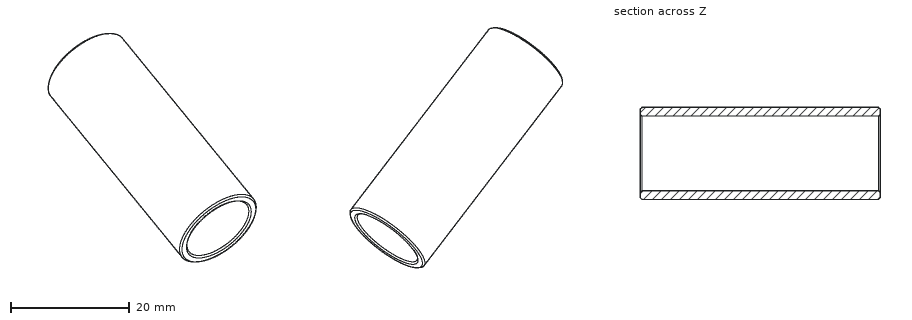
import cadquery as cq

length = 40.6
outer_diameter = 15.65
bore_diameter = 12.6
rim_chamfer = 0.3

end_plane = cq.Workplane("YZ", origin=(-length / 2, 0, 0))
tube = end_plane.circle(outer_diameter / 2).circle(bore_diameter / 2).extrude(length)

result = tube.faces("<X or >X").chamfer(rim_chamfer)